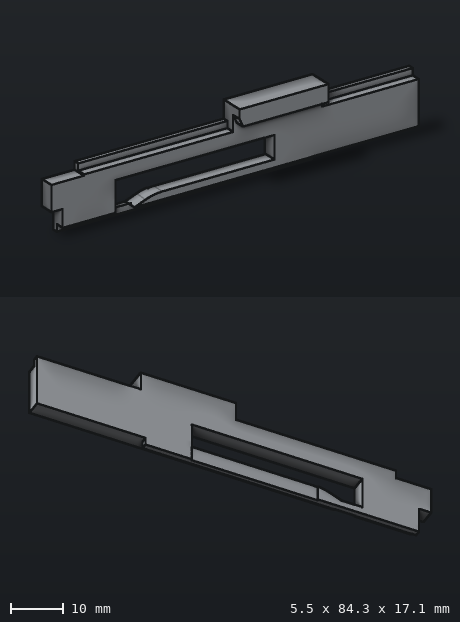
import cadquery as cq
import math

length = 84.3
height = 17.1
plate_thickness = 3.3
skin_thickness = 1.3

skin_top = 13.1
core_top = 11.55
core_bottom = 1.6

nose_step_length = 7.5
nose_top = 11.3
notch_length = 2.6
notch_top = 5.6

tail_start = 61.1

block_start = 41.7
block_end = 62.1
lip_reach = 5.5
lip_underside = 13.3
lip_chamfer_height = 1.8
lip_chamfer_length = 0.8

window_start = 14.75
window_end = 51.2
window_top = 8.4
rail_top = 3.3
recess_end = 24.2
ramp_start = 25.5
rail_recess = 0.25
ramp_arc_length = 3.8
ramp_angle = math.radians(21)


def box(x_range, y_range, z_range):
    """Box spanning the given (low, high) range along each axis."""
    sizes = [high - low for low, high in (x_range, y_range, z_range)]
    corner = (x_range[0], y_range[0], z_range[0])
    return cq.Workplane("XY").box(*sizes, centered=False).translate(corner)


def make_plate():
    """Stepped plate: full-height skin backed by a slightly lower core."""
    skin = box((0, skin_thickness), (0, length), (0, skin_top))
    core = box((0, plate_thickness), (0, length), (core_bottom, core_top))
    nose_step = box((0, plate_thickness), (0, nose_step_length), (nose_top, skin_top))
    notch = box((0, plate_thickness), (0, notch_length), (0, notch_top))
    tail_relief = box((0, plate_thickness), (tail_start, length), (0, core_bottom))
    return skin.union(core).cut(nose_step).cut(notch).cut(tail_relief)


def make_block():
    """Raised block and its lip, whose lower front edge is sloped."""
    span = (block_start, block_end)
    web = box((0, plate_thickness), span, (core_bottom, height))
    slope_top = lip_underside + lip_chamfer_height
    lip = (
        cq.Workplane("YZ")
        .moveTo(block_start, height)
        .lineTo(block_start, slope_top)
        .lineTo(block_start + lip_chamfer_length, lip_underside)
        .lineTo(block_end, lip_underside)
        .lineTo(block_end, height)
        .close()
        .extrude(lip_reach)
    )
    return web.union(lip)


def make_window():
    """Through opening: the rail runs out in a tangent arc and a straight ramp to the sill."""
    arc_radius = ramp_arc_length / math.sin(ramp_angle)
    arc_middle = (
        ramp_start - arc_radius * math.sin(ramp_angle / 2),
        rail_top - arc_radius * (1 - math.cos(ramp_angle / 2)),
    )
    arc_end = (
        ramp_start - ramp_arc_length,
        rail_top - arc_radius * (1 - math.cos(ramp_angle)),
    )
    ramp_end = arc_end[0] - (arc_end[1] - core_bottom) / math.tan(ramp_angle)
    return (
        cq.Workplane("YZ")
        .moveTo(window_end, window_top)
        .lineTo(window_end, rail_top)
        .lineTo(ramp_start, rail_top)
        .threePointArc(arc_middle, arc_end)
        .lineTo(ramp_end, core_bottom)
        .lineTo(window_start, core_bottom)
        .lineTo(window_start, window_top)
        .close()
        .extrude(plate_thickness)
    )


def make_rail_recess():
    """Shallow relief on the outer face of the rail."""
    return box((0, rail_recess), (recess_end, window_end), (0, rail_top))


result = make_plate().union(make_block()).cut(make_window()).cut(make_rail_recess())